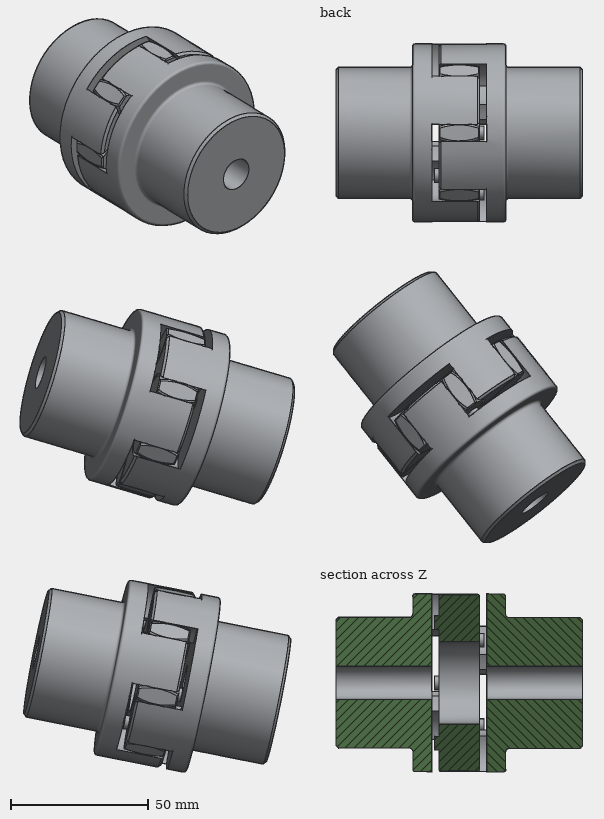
import cadquery as cq
import math


HALF_LENGTH = 45.0
FLANGE_BACK = 17.0
FLANGE_FRONT = 10.0
OUTER_RADIUS = 32.5
BOSS_RADIUS = 23.9
BORE_RADIUS = 6.0
JAW_INNER_RADIUS = 20.0
BOSS_CHAMFER = 1.0
FLANGE_FILLET = 1.0
BOSS_FILLET = 1.1
JAW_CHAMFER = 0.9

SPIDER_HALF_WIDTH = 7.5
SPIDER_RADIUS = 32.2
SPIDER_BORE_RADIUS = 15.0
LEG_COUNT = 8
LEG_CENTRE_RADIUS = 24.4
LEG_HALF_THICKNESS = 5.85
FLANK_RADIUS = 13.0
LEG_CHAMFER = 0.45
CROWN_DROP = 1.0
BUMP_RADIUS = 2.5
BUMP_CENTRE_RADIUS = 22.0
BUMP_HEIGHT = 1.6

LEG_PITCH = 360 / LEG_COUNT
JAW_COUNT = LEG_COUNT // 2
JAW_PITCH = 360 / JAW_COUNT
FLANK_OFFSET = FLANK_RADIUS - LEG_HALF_THICKNESS


def disc(radius, x_start, x_end):
    """Cylinder on the X axis."""
    return cq.Workplane("YZ", origin=(x_start, 0, 0)).circle(radius).extrude(x_end - x_start)


def turn(shape, angle):
    """Turn a shape about the X axis, from +Y towards +Z."""
    return shape.rotate((0, 0, 0), (1, 0, 0), angle)


def leg_pocket():
    """Lens-shaped space for the leg on +Y, bounded by two round flanks."""
    flanks = [
        cq.Workplane("YZ", origin=(-FLANGE_FRONT, LEG_CENTRE_RADIUS, side * FLANK_OFFSET))
        .circle(FLANK_RADIUS)
        .extrude(2 * FLANGE_FRONT)
        for side in (-1, 1)
    ]
    return flanks[0].intersect(flanks[1])


def jaw_gap():
    """Wedge one leg pitch wide, starting at +Y, where the other hub's jaw stands."""
    reach = 2 * OUTER_RADIUS
    pitch = math.radians(LEG_PITCH)
    return (
        cq.Workplane("YZ", origin=(-FLANGE_FRONT, 0, 0))
        .polyline([(0, 0), (reach, 0), (reach * math.cos(pitch), reach * math.sin(pitch))])
        .close()
        .extrude(2 * FLANGE_FRONT)
    )


def hub_blank():
    """Turned hub before the jaws are cut, with a ring in place of the jaws."""
    cos_45 = math.sqrt(0.5)
    flange_mid = FLANGE_FILLET * (1 - cos_45)
    neck_mid = BOSS_FILLET * (1 - cos_45)
    return (
        cq.Workplane("XY")
        .moveTo(-HALF_LENGTH, BORE_RADIUS)
        .lineTo(-HALF_LENGTH, BOSS_RADIUS - BOSS_CHAMFER)
        .lineTo(-HALF_LENGTH + BOSS_CHAMFER, BOSS_RADIUS)
        .lineTo(-FLANGE_BACK - BOSS_FILLET, BOSS_RADIUS)
        .threePointArc(
            (-FLANGE_BACK - neck_mid, BOSS_RADIUS + neck_mid),
            (-FLANGE_BACK, BOSS_RADIUS + BOSS_FILLET),
        )
        .lineTo(-FLANGE_BACK, OUTER_RADIUS - FLANGE_FILLET)
        .threePointArc(
            (-FLANGE_BACK + flange_mid, OUTER_RADIUS - flange_mid),
            (-FLANGE_BACK + FLANGE_FILLET, OUTER_RADIUS),
        )
        .lineTo(SPIDER_HALF_WIDTH - JAW_CHAMFER, OUTER_RADIUS)
        .lineTo(SPIDER_HALF_WIDTH, OUTER_RADIUS - JAW_CHAMFER)
        .lineTo(SPIDER_HALF_WIDTH, JAW_INNER_RADIUS)
        .lineTo(-FLANGE_FRONT, JAW_INNER_RADIUS)
        .lineTo(-FLANGE_FRONT, BORE_RADIUS)
        .close()
        .revolve(360, (0, 0, 0), (1, 0, 0))
    )


def make_hub():
    """Hub at the -X end, with its jaws pointing to +X."""
    hub = hub_blank()
    for index in range(JAW_COUNT):
        hub = hub.cut(turn(jaw_gap(), index * JAW_PITCH))
    for index in range(LEG_COUNT):
        hub = hub.cut(turn(leg_pocket(), index * LEG_PITCH))
    return hub


def crowned_barrel(side):
    """Barrel whose bulging surface is one flank of the leg on +Y."""
    end_radius = FLANK_RADIUS - CROWN_DROP
    return (
        cq.Workplane("XY")
        .moveTo(-SPIDER_HALF_WIDTH, 0)
        .lineTo(-SPIDER_HALF_WIDTH, end_radius)
        .threePointArc((0, FLANK_RADIUS), (SPIDER_HALF_WIDTH, end_radius))
        .lineTo(SPIDER_HALF_WIDTH, 0)
        .close()
        .revolve(360, (0, 0, 0), (1, 0, 0))
        .translate((0, LEG_CENTRE_RADIUS, side * FLANK_OFFSET))
    )


def bump(end):
    """Round spacer bump on the end face of the leg on +Y; end is -1 or +1 along X."""
    return (
        cq.Workplane("YZ", origin=(end * SPIDER_HALF_WIDTH, BUMP_CENTRE_RADIUS, 0))
        .circle(BUMP_RADIUS)
        .extrude(end * BUMP_HEIGHT)
    )


def make_spider():
    """Ring with crowned legs, each with a bump on alternate end faces."""
    leg = crowned_barrel(-1).intersect(crowned_barrel(1))
    leg = leg.intersect(disc(SPIDER_RADIUS, -SPIDER_HALF_WIDTH, SPIDER_HALF_WIDTH))
    leg = leg.faces(">Y").chamfer(LEG_CHAMFER)
    spider = disc(JAW_INNER_RADIUS, -SPIDER_HALF_WIDTH, SPIDER_HALF_WIDTH)
    for index in range(LEG_COUNT):
        bump_end = -1 if index % 2 == 0 else 1
        spider = spider.union(turn(leg.union(bump(bump_end)), index * LEG_PITCH))
    return spider.cut(disc(SPIDER_BORE_RADIUS, -SPIDER_HALF_WIDTH, SPIDER_HALF_WIDTH))


left_hub = make_hub()
right_hub = make_hub().rotate((0, 0, 0), (0, 0, 1), 180)
spider = make_spider()

bodies = [left_hub, right_hub, spider]
result = cq.Compound.makeCompound([body.solids().val() for body in bodies])